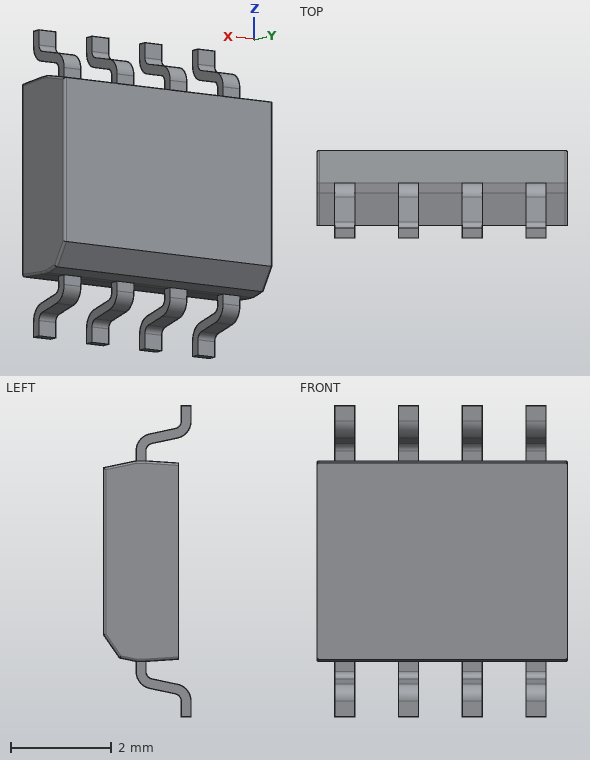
import cadquery as cq
import math

overall_depth = 1.75
overall_height = 6.2

housing_width = 5.0
housing_thickness = 1.5
housing_height = 4.0
back_draft = 0.135
front_draft = 0.045
bevel_depth = 0.32
bevel_height = 0.465
end_fillet = 0.05

leads_per_side = 4
lead_pitch = 1.27
lead_row_offset = -0.04
lead_width = 0.4
lead_thickness = 0.2
inner_bend_radius = 0.15
shank_tilt = 12.0
foot_length = 0.31

back_y = overall_depth / 2
front_y = back_y - housing_thickness
lead_y = (back_y + front_y) / 2
band_back_y = lead_y + lead_thickness / 2
band_front_y = lead_y - lead_thickness / 2
foot_y = -overall_depth / 2 + lead_thickness / 2

band_z = housing_height / 2
back_z = band_z - back_draft
front_z = band_z - front_draft
tip_z = overall_height / 2


def make_housing():
    """Moulded block with drafted sides, a flat band at the leads and one bevel along the back."""
    bevel_y = back_y - bevel_depth
    bevel_bottom_z = -back_z - back_draft * bevel_depth / (back_y - band_back_y)
    outline = [
        (front_y, front_z),
        (band_front_y, band_z),
        (band_back_y, band_z),
        (back_y, back_z),
        (back_y, bevel_bottom_z + bevel_height),
        (bevel_y, bevel_bottom_z),
        (band_back_y, -band_z),
        (band_front_y, -band_z),
        (front_y, -front_z),
    ]
    block = cq.Workplane("YZ").polyline(outline).close().extrude(housing_width / 2, both=True)
    return block.faces("<X or >X").edges("not <Y").fillet(end_fillet)


def make_upper_lead(x):
    """Gull-wing lead standing on the top band of the housing, centred at x."""
    radius = inner_bend_radius + lead_thickness / 2
    bend_angle = math.radians(90 - shank_tilt)

    def bend_offset(angle):
        """Sideways shift and rise of the centreline after turning by an angle."""
        return radius * (1 - math.cos(angle)), radius * math.sin(angle)

    half_shift, half_rise = bend_offset(bend_angle / 2)
    shift, rise = bend_offset(bend_angle)
    shank_run = lead_y - foot_y - 2 * shift
    shank_rise = shank_run * math.tan(math.radians(shank_tilt))
    foot_z = tip_z - foot_length
    root_z = foot_z - 2 * rise - shank_rise

    centreline = (
        cq.Workplane("YZ", origin=(x, 0, 0))
        .moveTo(lead_y, band_z)
        .lineTo(lead_y, root_z)
        .threePointArc((lead_y - half_shift, root_z + half_rise), (lead_y - shift, root_z + rise))
        .lineTo(foot_y + shift, foot_z - rise)
        .threePointArc((foot_y + half_shift, foot_z - half_rise), (foot_y, foot_z))
        .lineTo(foot_y, tip_z)
    )
    section = cq.Workplane("XY", origin=(x, lead_y, band_z)).rect(lead_width, lead_thickness)
    return section.sweep(centreline)


housing = make_housing()

leads = []
for index in range(leads_per_side):
    lead_x = lead_row_offset + (index - (leads_per_side - 1) / 2) * lead_pitch
    upper_lead = make_upper_lead(lead_x)
    lower_lead = upper_lead.mirror("XY")
    leads.append(upper_lead.val())
    leads.append(lower_lead.val())

result = cq.Compound.makeCompound([housing.val(), *leads])